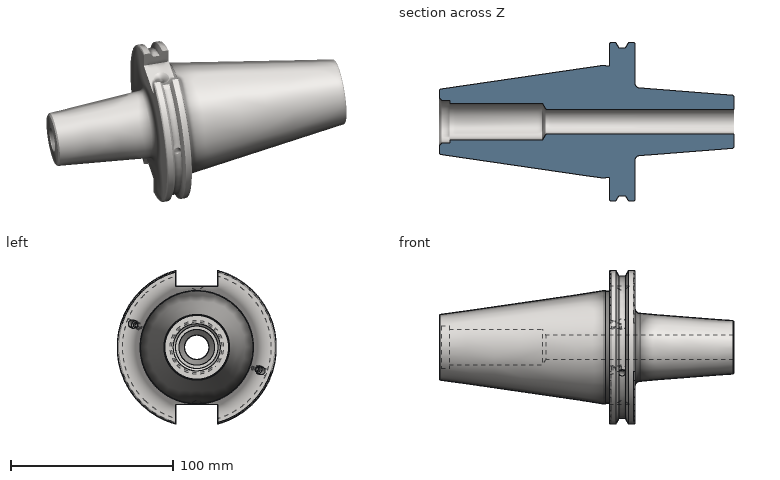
import cadquery as cq
import math

length = 181.6
taper_end = 101.3
collar_end = 102.5
flange_start = 104.8
flange_width = 15.8
flange_end = flange_start + flange_width
groove_x = 112.6

gauge_diameter = 70.0
taper_ratio = 7 / 24
relief_diameter = 69.2
taper_tip_diameter = gauge_diameter - taper_end * taper_ratio
shank_chamfer = 0.5

flange_diameter = 98.0
flange_edge = 0.9
groove_depth = 3.3
groove_floor_width = 4.0
groove_wall_angle = 30
groove_floor_radius = flange_diameter / 2 - groove_depth
groove_mouth_width = groove_floor_width + 2 * groove_depth * math.tan(math.radians(groove_wall_angle))

nose_root_diameter = 42.0
nose_tip_diameter = 32.9
nose_start = 123.9
nose_fillet = 2.9
nose_chamfer = 0.9

through_diameter = 14.9
pilot_diameter = 22.0
pilot_end = 63.5
counterbore_diameter = 26.2
counterbore_depth = 6.4
mouth_chamfer = 1.5
drill_point_angle = 118

slot_width = 25.8
upper_slot_floor = 37.6
lower_slot_floor = 35.2
dimple_diameter = 9.5

coolant_angle = 20
coolant_radius = 41.8
coolant_tilt = 30
coolant_diameter = 5.0
coolant_depth = 2.9
coolant_feed_diameter = 3.3
groove_hole_diameter = 4.2


def drill_tip(diameter):
    """Height of the conical point left by a drill."""
    return diameter / 2 / math.tan(math.radians(drill_point_angle / 2))


def revolve_about_x(points):
    return cq.Workplane("XY").polyline(points).close().revolve(360, (0, 0, 0), (1, 0, 0))


def drilled_hole(start, direction, diameter, depth):
    """Blind cylinder with a conical end, used as a cutter."""
    start = cq.Vector(*start)
    direction = cq.Vector(*direction).normalized()
    barrel = cq.Solid.makeCylinder(diameter / 2, depth, start, direction)
    bottom = start + direction * depth
    point = cq.Solid.makeCone(diameter / 2, 0, drill_tip(diameter), bottom, direction)
    return barrel.fuse(point)


def make_shank():
    tip_radius = taper_tip_diameter / 2
    return revolve_about_x([
        (0, 0),
        (0, tip_radius - shank_chamfer),
        (shank_chamfer, tip_radius + shank_chamfer * taper_ratio / 2),
        (taper_end, gauge_diameter / 2),
        (collar_end, gauge_diameter / 2),
        (collar_end, relief_diameter / 2),
        (flange_start, relief_diameter / 2),
        (flange_start, 0),
    ])


def make_flange():
    radius = flange_diameter / 2
    disc = cq.Workplane("YZ", origin=(flange_start, 0, 0)).circle(radius).extrude(flange_width)
    disc = disc.edges("%CIRCLE").fillet(flange_edge)
    groove = revolve_about_x([
        (groove_x - groove_mouth_width / 2, radius),
        (groove_x - groove_mouth_width / 2, radius + groove_depth),
        (groove_x + groove_mouth_width / 2, radius + groove_depth),
        (groove_x + groove_mouth_width / 2, radius),
        (groove_x + groove_floor_width / 2, groove_floor_radius),
        (groove_x - groove_floor_width / 2, groove_floor_radius),
    ])
    return disc.cut(groove)


def make_nose():
    root_radius = nose_root_diameter / 2
    tip_radius = nose_tip_diameter / 2
    slope = (root_radius - tip_radius) / (length - nose_start)
    profile = (
        cq.Workplane("XY")
        .moveTo(flange_end - flange_edge, 0)
        .lineTo(flange_end - flange_edge, root_radius + nose_fillet)
        .lineTo(flange_end, root_radius + nose_fillet)
        .radiusArc((flange_end + nose_fillet, root_radius), -nose_fillet)
        .lineTo(nose_start, root_radius)
        .lineTo(length - nose_chamfer, tip_radius + slope * nose_chamfer)
        .lineTo(length, tip_radius - nose_chamfer)
        .lineTo(length, 0)
        .close()
    )
    return profile.revolve(360, (0, 0, 0), (1, 0, 0))


def make_bore():
    mouth_radius = counterbore_diameter / 2 + mouth_chamfer
    cone_length = drill_tip(pilot_diameter) - drill_tip(through_diameter)
    return revolve_about_x([
        (0, 0),
        (0, mouth_radius),
        (mouth_chamfer, counterbore_diameter / 2),
        (counterbore_depth, counterbore_diameter / 2),
        (counterbore_depth, pilot_diameter / 2),
        (pilot_end, pilot_diameter / 2),
        (pilot_end + cone_length, through_diameter / 2),
        (length, through_diameter / 2),
        (length, 0),
    ])


def cut_drive_slot(body, side, floor):
    """Cut one slot; side is +1 for the top and -1 for the bottom."""
    slot_height = flange_diameter / 2 - floor
    slot = cq.Workplane("XY").box(flange_width, slot_width, slot_height)
    slot = slot.translate((flange_start + flange_width / 2, 0, side * (floor + slot_height / 2)))
    dimple = cq.Solid.makeCone(
        dimple_diameter / 2,
        0,
        drill_tip(dimple_diameter),
        cq.Vector(groove_x, 0, side * floor),
        cq.Vector(0, 0, -side),
    )
    return body.cut(slot).cut(cq.Workplane(dimple))


def cut_coolant_channel(body, angle):
    """Cut an inclined hole in the flange face and the radial hole from the groove that meets it."""
    y_part = math.cos(math.radians(angle))
    z_part = math.sin(math.radians(angle))
    tilt = math.radians(coolant_tilt)
    entry = cq.Vector(flange_start, coolant_radius * y_part, coolant_radius * z_part)
    inward = cq.Vector(math.cos(tilt), -math.sin(tilt) * y_part, -math.sin(tilt) * z_part)

    lead_in = coolant_diameter
    start = entry - inward * lead_in
    mouth = drilled_hole(start.toTuple(), inward.toTuple(), coolant_diameter, coolant_depth + lead_in)

    feed_length = (groove_x - flange_start) / math.cos(tilt)
    feed = cq.Solid.makeCylinder(coolant_feed_diameter / 2, feed_length, entry, inward)

    meeting_radius = coolant_radius - feed_length * math.sin(tilt)
    rim = (groove_x, flange_diameter / 2 * y_part, flange_diameter / 2 * z_part)
    radial_depth = flange_diameter / 2 - meeting_radius
    radial = drilled_hole(rim, (0, -y_part, -z_part), groove_hole_diameter, radial_depth)
    return body.cut(cq.Workplane(mouth)).cut(cq.Workplane(feed)).cut(cq.Workplane(radial))


body = make_shank().union(make_flange()).union(make_nose())
body = body.cut(make_bore())
body = cut_drive_slot(body, 1, upper_slot_floor)
body = cut_drive_slot(body, -1, lower_slot_floor)
for channel_angle in (coolant_angle, coolant_angle + 180):
    body = cut_coolant_channel(body, channel_angle)

result = body